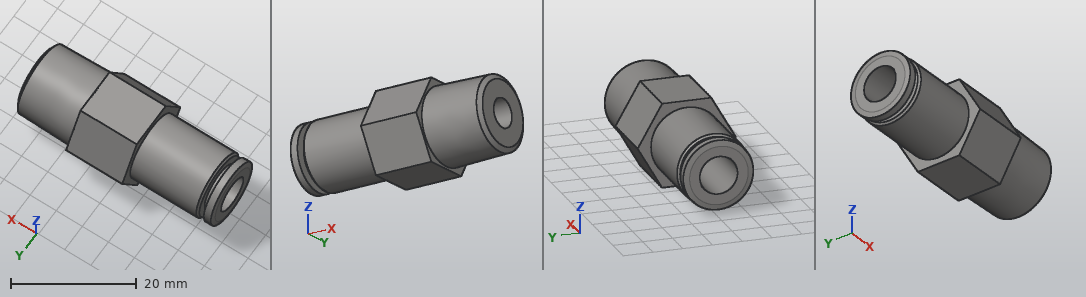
import cadquery as cq
import math

total_length = 37.3

ring_diameter = 11.8
ring_face_diameter = 9.85
ring_bevel_length = 0.15
ring_end = 1.5

neck_diameter = 8.35
neck_end = 2.5

body_diameter = 12.0
body_chamfer = 0.37

hex_start = 15.5
hex_length = 10.78
hex_across_flats = 14.3
hex_across_corners = hex_across_flats / math.cos(math.radians(30))
hex_end = hex_start + hex_length

taper_large_diameter = 13.43
taper_small_diameter = 12.9
tip_diameter = 11.1
tip_chamfer_length = 0.55
taper_end = total_length - tip_chamfer_length

socket_diameter = 6.35
socket_depth = total_length / 2
through_diameter = 5.0


def turned_profile(stations):
    """Revolve a profile of (x, diameter) stations about the X axis."""
    first_x = stations[0][0]
    last_x = stations[-1][0]
    outline = [(first_x, 0)]
    outline += [(x, diameter / 2) for x, diameter in stations]
    outline.append((last_x, 0))
    return cq.Workplane("XY").polyline(outline).close().revolve(360, (0, 0, 0), (1, 0, 0))


def bore(diameter, depth):
    """Round cutter running from the tube entry along +X."""
    return cq.Workplane("YZ").circle(diameter / 2).extrude(depth)


turned_body = turned_profile([
    (0, ring_face_diameter),
    (ring_bevel_length, ring_diameter),
    (ring_end, ring_diameter),
    (ring_end, neck_diameter),
    (neck_end, neck_diameter),
    (neck_end, body_diameter - 2 * body_chamfer),
    (neck_end + body_chamfer, body_diameter),
    (hex_end, body_diameter),
    (hex_end, taper_large_diameter),
    (taper_end, taper_small_diameter),
    (total_length, tip_diameter),
])

hexagon = (
    cq.Workplane("YZ")
    .workplane(offset=hex_start)
    .polygon(6, hex_across_corners)
    .extrude(hex_length)
)

result = (
    turned_body.union(hexagon)
    .cut(bore(socket_diameter, socket_depth))
    .cut(bore(through_diameter, total_length))
)